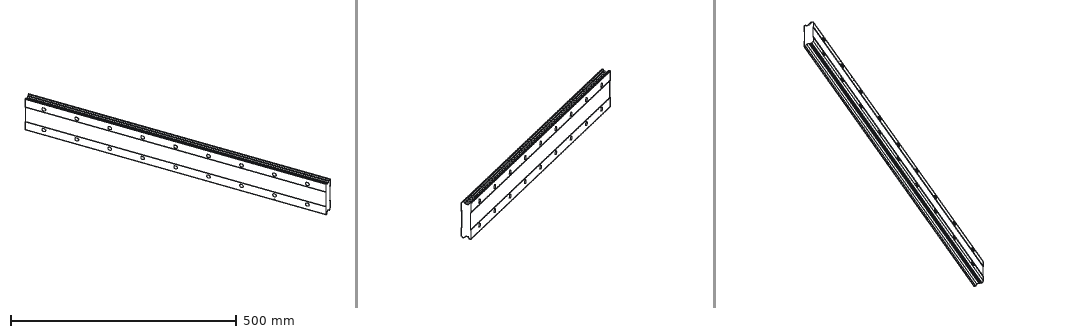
import cadquery as cq

length = 730.0
depth = 24.0
height = 90.0
half_depth = depth / 2
half_height = height / 2

back_chamfer = 4.0
tongue_top_width = 2.0
ledge_width = 1.5
ledge_drop = 1.0

groove_depth = 5.0
lip_top_width = 4.0
lip_wall_slant = 3.0
lip_chamfer_width = 1.1
lip_chamfer_drop = 1.0

recess_height = 42.0
recess_depth = 1.0

hole_diameter = 9.0
holes_per_row = 9
hole_rows = 2
hole_end_margin = 45.0
hole_pitch = (length - 2 * hole_end_margin) / (holes_per_row - 1)
row_spacing = 60.0


def edge_outline():
    """Top long edge as (y, z) points, from the back face to the front face."""
    groove_floor = half_height - groove_depth
    tongue_back = half_depth - back_chamfer
    tongue_front = tongue_back - tongue_top_width

    bevel = (groove_depth - ledge_drop) / 2
    ledge_back = tongue_front - bevel
    ledge_front = ledge_back - ledge_width

    lip_back = lip_top_width - half_depth
    return [
        (half_depth, half_height - back_chamfer),
        (tongue_back, half_height),
        (tongue_front, half_height),
        (ledge_back, half_height - bevel),
        (ledge_front, groove_floor + bevel),
        (ledge_front - bevel, groove_floor),
        (lip_back + lip_wall_slant, groove_floor),
        (lip_back, half_height),
        (lip_chamfer_width - half_depth, half_height),
        (-half_depth, half_height - lip_chamfer_drop),
    ]


def rail_body():
    """Extrude the closed cross-section, whose lower edge mirrors the upper one."""
    upper = edge_outline()
    lower = [(y, -z) for y, z in reversed(upper)]
    profile = cq.Workplane("YZ").polyline(upper + lower).close()
    return profile.extrude(length / 2, both=True)


def face_recesses():
    """Two slabs, half sunk into the front and back faces."""
    slab = cq.Workplane("XY").box(length, 2 * recess_depth, recess_height)
    front = slab.translate((0, -half_depth, 0))
    back = slab.translate((0, half_depth, 0))
    return front.union(back)


def mounting_holes():
    """Cylinders along Y for both rows of holes."""
    return (
        cq.Workplane("XZ")
        .rarray(hole_pitch, row_spacing, holes_per_row, hole_rows)
        .circle(hole_diameter / 2)
        .extrude(depth, both=True)
    )


result = rail_body().cut(face_recesses()).cut(mounting_holes())